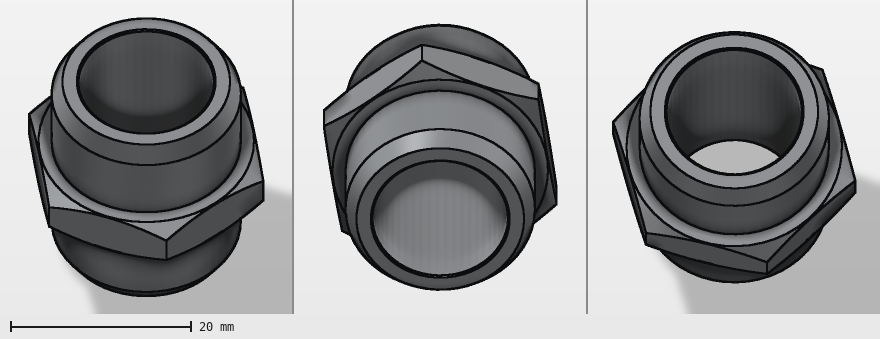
import cadquery as cq
import math

hex_across_corners = 27.7
hex_height = 5.5
hex_chamfer_angle = 30.0
chamfer_circle_diameter = 23.83

stub_length = 10.0
stub_diameter = 20.95
tip_chamfer_length = 2.08
tip_chamfer_angle = 30.0

bore_diameter = 15.0
mouth_diameter = 15.35

total_height = hex_height + 2 * stub_length


def make_hexagon():
    """Hexagon with corners on X, its corners turned off by a cone at each end."""
    prism = cq.Workplane("XY").polygon(6, hex_across_corners).extrude(hex_height / 2, both=True)
    corner_radius = hex_across_corners / 2
    flat_radius = chamfer_circle_diameter / 2
    corner_drop = (corner_radius - flat_radius) * math.tan(math.radians(hex_chamfer_angle))
    turned_envelope = (
        cq.Workplane("XZ")
        .moveTo(0, -hex_height / 2)
        .lineTo(flat_radius, -hex_height / 2)
        .lineTo(corner_radius, -hex_height / 2 + corner_drop)
        .lineTo(corner_radius, hex_height / 2 - corner_drop)
        .lineTo(flat_radius, hex_height / 2)
        .lineTo(0, hex_height / 2)
        .close()
        .revolve(360, (0, 0, 0), (0, 1, 0))
    )
    return prism.intersect(turned_envelope)


def make_upper_stub():
    """Round stub rising from the middle of the collar, with a steep tip chamfer."""
    stub_radius = stub_diameter / 2
    tip_radius = stub_radius - tip_chamfer_length * math.tan(math.radians(tip_chamfer_angle))
    return (
        cq.Workplane("XZ")
        .lineTo(stub_radius, 0)
        .lineTo(stub_radius, total_height / 2 - tip_chamfer_length)
        .lineTo(tip_radius, total_height / 2)
        .lineTo(0, total_height / 2)
        .close()
        .revolve(360, (0, 0, 0), (0, 1, 0))
    )


def make_bore():
    """Through bore with a small 45 degree chamfer at both mouths."""
    mouth_depth = (mouth_diameter - bore_diameter) / 2
    bore_radius = bore_diameter / 2
    mouth_radius = mouth_diameter / 2
    return (
        cq.Workplane("XZ")
        .moveTo(0, -total_height / 2)
        .lineTo(mouth_radius, -total_height / 2)
        .lineTo(bore_radius, -total_height / 2 + mouth_depth)
        .lineTo(bore_radius, total_height / 2 - mouth_depth)
        .lineTo(mouth_radius, total_height / 2)
        .lineTo(0, total_height / 2)
        .close()
        .revolve(360, (0, 0, 0), (0, 1, 0))
    )


upper_stub = make_upper_stub()
lower_stub = upper_stub.mirror("XY")
result = make_hexagon().union(upper_stub).union(lower_stub).cut(make_bore())